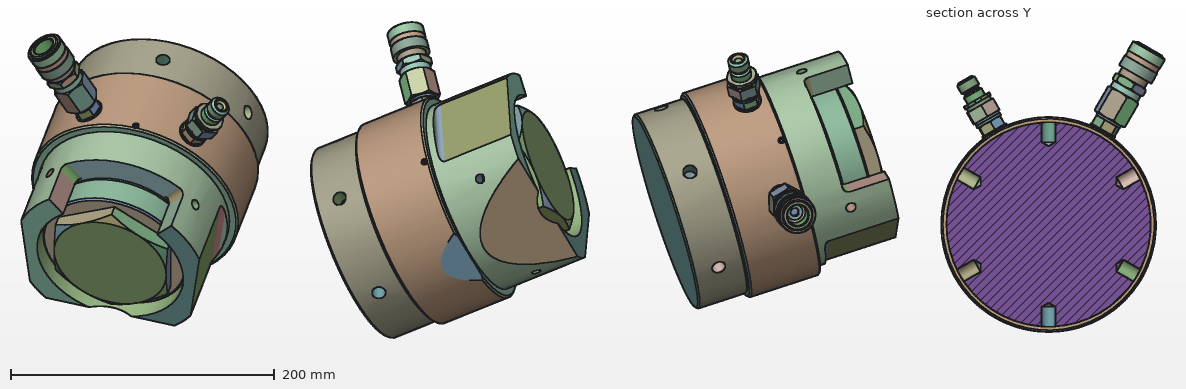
import math

import cadquery as cq


length = 163.0
nose_radius = 75.0
collar_radius = 81.5
collar_front = 66.0
collar_back = 123.0
collar_chamfer = 1.4
rear_radius = 77.5
rear_chamfer = 1.4
rear_neck_chamfer = 1.2

bore_radius = 57.7
bore_depth = 36.0
slot_half_angle = 40.0
slot_fillet = 5.0
flat_distance = 67.25
flat_tilt = 6.0
flat_length = 59.9
flat_fillet = 4.0
nose_bevel_height = 55.3
nose_bevel_angle = 20.0
collar_bevel_height = 77.5
collar_bevel_angle = 10.0

piston_radius = 56.9
piston_front = 12.0
piston_chamfer = 1.4
piston_groove_radius = 55.3
piston_groove_width = 3.2
hexagon_flats = 88.4
hex_chamfer_angle = 30.0

rear_hole_diameter = 10.4
rear_hole_y = length - 20.0
rear_hole_depth = 15.0
rear_hole_count = 6
nose_hole_y = 33.7
nose_hole_angle = 50.0
nose_hole_upper_diameter = 7.7
nose_hole_lower_diameter = 6.8
screw_hole_diameter = 4.7
screw_hole_y = 69.7
screw_hole_depth = 0.6
screw_socket_flats = 2.5
screw_socket_depth = 1.5
screw_socket_turn = 30.0
screw_hole_count = 3
drill_point_angle = 118.0

fitting_y = 83.0
fitting_angle = 30.0
fitting_root = 76.0
washer_radius = 10.6
washer_top = 82.5
adapter_flats = 18.0
adapter_top = 90.0

margin = 10.0
wall_overcut = 1.0
edge_tolerance = 1.0


def revolve_profile(points):
    """Solid of revolution about the Y axis from (radius, y) points."""
    return cq.Workplane("XY").polyline(points).close().revolve(360, (0, 0), (0, 1))


def cylinder(radius, bottom, top):
    """Upright cylinder about the Z axis."""
    return cq.Workplane("XY").workplane(offset=bottom).circle(radius).extrude(top - bottom)


def cone_frustum(bottom_radius, top_radius, bottom, top):
    """Upright cone frustum about the Z axis."""
    cone = cq.Solid.makeCone(bottom_radius, top_radius, top - bottom, cq.Vector(0, 0, bottom))
    return cq.Workplane(obj=cone)


def hexagon(flats, bottom, top, turn, chamfer_bottom=False, chamfer_top=False):
    """Upright hexagon; turn is the angle of a corner away from -Y toward +X."""
    flat_radius = flats / 2
    corner_radius = flats / math.sqrt(3)
    prism = (
        cq.Workplane("XY")
        .workplane(offset=bottom)
        .polygon(6, 2 * corner_radius)
        .extrude(top - bottom)
        .rotate((0, 0, 0), (0, 0, 1), turn - 90)
    )
    chamfer_run = corner_radius - flat_radius
    chamfer_rise = chamfer_run * math.tan(math.radians(hex_chamfer_angle))
    limit = cq.Workplane("XZ").moveTo(0, bottom)
    if chamfer_bottom:
        limit = limit.lineTo(flat_radius, bottom).lineTo(corner_radius, bottom + chamfer_rise)
    else:
        limit = limit.lineTo(corner_radius, bottom)
    if chamfer_top:
        limit = limit.lineTo(corner_radius, top - chamfer_rise).lineTo(flat_radius, top)
    else:
        limit = limit.lineTo(corner_radius, top)
    limit = limit.lineTo(0, top).close().revolve(360, (0, 0), (0, 1))
    return prism.intersect(limit)


def around_axis(shape, angle):
    """Turn a shape about the main axis from +Z toward +X."""
    return shape.rotate((0, 0, 0), (0, 1, 0), angle)


def radial_hole(diameter, outer_radius, depth, y, angle, pointed=True):
    """Cutter for a radial hole, with an optional drill point at its inner end."""
    radius = diameter / 2
    inner_radius = outer_radius - depth
    cutter = cylinder(radius, inner_radius, outer_radius + margin)
    if pointed:
        point_height = radius / math.tan(math.radians(drill_point_angle / 2))
        cutter = cutter.union(cone_frustum(0, radius, inner_radius - point_height, inner_radius))
    return around_axis(cutter.translate((0, y, 0)), angle)


def wrench_flat():
    """Cutter for the tilted flat on the +X side of the nose."""
    reach = nose_radius + margin - flat_distance
    cutter = (
        cq.Workplane("XY")
        .box(reach, flat_length, 2 * nose_radius, centered=(False, False, True))
        .translate((flat_distance, 0, 0))
        .edges("<X and >Y")
        .fillet(flat_fillet)
    )
    return around_axis(cutter, flat_tilt)


def top_slot():
    """Wedge cutter that opens the top of the nose into the bore."""
    half_angle = math.radians(slot_half_angle)
    reach = nose_radius + margin
    side_x = reach * math.sin(half_angle)
    side_z = reach * math.cos(half_angle)
    floor_edges = cq.selectors.BoxSelector(
        (-side_x, bore_depth - edge_tolerance, edge_tolerance),
        (side_x, bore_depth + edge_tolerance, side_z - edge_tolerance),
    )
    return (
        cq.Workplane("XZ")
        .polyline([(0, 0), (-side_x, side_z), (-side_x, reach), (side_x, reach), (side_x, side_z)])
        .close()
        .extrude(-bore_depth)
        .edges(floor_edges)
        .fillet(slot_fillet)
    )


def bottom_bevel(start_y, start_height, angle):
    """Cutter below a plane that starts at the given y and slopes down toward the back."""
    run = collar_radius
    drop = run * math.tan(math.radians(angle))
    return (
        cq.Workplane("YZ")
        .polyline([
            (start_y, -start_height),
            (start_y + run, -start_height - drop),
            (start_y, -start_height - drop),
        ])
        .close()
        .extrude(collar_radius, both=True)
    )


def make_nose():
    nose = revolve_profile([(0, 0), (nose_radius, 0), (nose_radius, collar_front), (0, collar_front)])
    nose = nose.cut(revolve_profile([(0, 0), (bore_radius, 0), (bore_radius, bore_depth), (0, bore_depth)]))
    nose = nose.cut(top_slot())
    right_flat = wrench_flat()
    nose = nose.cut(right_flat).cut(right_flat.mirror("YZ"))
    nose = nose.cut(bottom_bevel(0, nose_bevel_height, nose_bevel_angle))
    wall = nose_radius - bore_radius + wall_overcut
    for side in (-1, 1):
        upper_angle = side * nose_hole_angle
        lower_angle = side * (nose_hole_angle + 90)
        for angle, diameter in (
            (upper_angle, nose_hole_upper_diameter),
            (lower_angle, nose_hole_lower_diameter),
        ):
            nose = nose.cut(radial_hole(diameter, nose_radius, wall, nose_hole_y, angle, False))
    return nose


def make_collar():
    collar = revolve_profile([
        (0, collar_front),
        (collar_radius - collar_chamfer, collar_front),
        (collar_radius, collar_front + collar_chamfer),
        (collar_radius, collar_back - collar_chamfer),
        (collar_radius - collar_chamfer, collar_back),
        (0, collar_back),
    ])
    collar = collar.cut(bottom_bevel(collar_front, collar_bevel_height, collar_bevel_angle))
    screw_floor = collar_radius - screw_hole_depth
    for i in range(screw_hole_count):
        angle = i * 360 / screw_hole_count
        collar = collar.cut(
            radial_hole(screw_hole_diameter, collar_radius, screw_hole_depth, screw_hole_y, angle, False)
        )
        socket = hexagon(screw_socket_flats, screw_floor - screw_socket_depth, screw_floor, screw_socket_turn)
        collar = collar.cut(around_axis(socket.translate((0, screw_hole_y, 0)), angle))
    return collar


def make_rear():
    rear = revolve_profile([
        (0, collar_back),
        (rear_radius - rear_neck_chamfer, collar_back),
        (rear_radius, collar_back + rear_neck_chamfer),
        (rear_radius, length - rear_chamfer),
        (rear_radius - rear_chamfer, length),
        (0, length),
    ])
    for i in range(rear_hole_count):
        angle = i * 360 / rear_hole_count
        rear = rear.cut(radial_hole(rear_hole_diameter, rear_radius, rear_hole_depth, rear_hole_y, angle))
    return rear


def make_piston():
    groove_front = bore_depth - piston_groove_width
    piston = revolve_profile([
        (0, piston_front),
        (piston_radius - piston_chamfer, piston_front),
        (piston_radius, piston_front + piston_chamfer),
        (piston_radius, groove_front),
        (piston_groove_radius, groove_front),
        (piston_groove_radius, bore_depth),
        (0, bore_depth),
    ])
    head = hexagon(hexagon_flats, -piston_front, 0, 0, chamfer_top=True)
    return piston.union(head.rotate((0, 0, 0), (1, 0, 0), 90))


def fitting_base(hex_turn, chamfered):
    """Washer and adapter hexagon that seat a fitting on the collar."""
    washer = cylinder(washer_radius, fitting_root, washer_top)
    return washer.union(
        hexagon(adapter_flats, washer_top, adapter_top, hex_turn, chamfer_top=chamfered)
    )


def make_socket_fitting():
    """Large quick-release socket."""
    hex_flats = 24.0
    hex_turn = 14.0
    adapter_turn = -15.0
    neck_radius = 10.2
    body_bottom = 92.0
    body_top = 114.0
    union_radius = 11.9
    nut_bottom = 119.2
    nut_top = 125.6
    tail_radius = 11.3
    sleeve_bottom = 131.3
    sleeve_radius = 14.2
    sleeve_step = 140.0
    waist_radius = 13.6
    waist_top = 144.5
    grip_radius = 14.0
    grip_top = 152.65
    grip_chamfer = 0.5
    mouth_base_radius = 11.8
    mouth_radius = 10.8
    mouth_top = 153.8
    socket_radius = 7.9
    socket_chamfer = 0.7
    socket_depth = 13.0
    seat_radius = 6.0
    seat_depth = 14.0
    valve_radius = 3.2
    valve_depth = 18.0

    fitting = fitting_base(adapter_turn, False)
    fitting = fitting.union(cylinder(neck_radius, adapter_top, body_bottom))
    fitting = fitting.union(hexagon(hex_flats, body_bottom, body_top, hex_turn, True, True))
    fitting = fitting.union(cylinder(union_radius, body_top, nut_bottom))
    fitting = fitting.union(hexagon(hex_flats, nut_bottom, nut_top, hex_turn, True, True))
    fitting = fitting.union(cylinder(tail_radius, nut_top, sleeve_bottom))
    fitting = fitting.union(cylinder(sleeve_radius, sleeve_bottom, sleeve_step))
    fitting = fitting.union(cylinder(waist_radius, sleeve_step, waist_top))
    fitting = fitting.union(cylinder(grip_radius, waist_top, grip_top).faces(">Z").chamfer(grip_chamfer))
    fitting = fitting.union(cone_frustum(mouth_base_radius, mouth_radius, grip_top, mouth_top))
    socket_floor = mouth_top - socket_depth
    seat_floor = mouth_top - seat_depth
    lip_radius = socket_radius + socket_chamfer
    fitting = fitting.cut(cylinder(valve_radius, mouth_top - valve_depth, mouth_top))
    fitting = fitting.cut(cone_frustum(seat_radius, socket_radius, seat_floor, socket_floor))
    fitting = fitting.cut(cylinder(socket_radius, socket_floor, mouth_top))
    return fitting.cut(cone_frustum(socket_radius, lip_radius, mouth_top - socket_chamfer, mouth_top))


def make_plug_fitting():
    """Small quick-release plug."""
    hex_flats = 22.0
    hex_turn = 4.0
    seat_radius = 10.4
    seat_top = 92.0
    neck_radius = 10.1
    body_bottom = 94.0
    body_top = 104.0
    collar_neck_radius = 10.1
    flange_bottom = 106.9
    flange_radius = 11.5
    flange_top = 109.3
    stem_radius = 7.7
    groove_radius = 6.2
    groove_bottom = 116.4
    groove_cone_bottom = 117.6
    groove_top = 118.7
    tip_radius = 5.6
    tip_top = 126.8
    shoulder_height = 1.5
    recess_mouth_radius = 4.6
    recess_floor_radius = 2.8
    recess_depth = 2.0

    fitting = fitting_base(hex_turn, True)
    fitting = fitting.union(cylinder(seat_radius, adapter_top, seat_top))
    fitting = fitting.union(cylinder(neck_radius, seat_top, body_bottom))
    fitting = fitting.union(hexagon(hex_flats, body_bottom, body_top, hex_turn))
    fitting = fitting.union(cylinder(collar_neck_radius, body_top, flange_bottom))
    flange = cylinder(flange_radius, flange_bottom, flange_top)
    fitting = fitting.union(flange.intersect(hexagon(hex_flats, flange_bottom, flange_top, hex_turn)))
    stem_top = groove_bottom - shoulder_height
    tip_shoulder = tip_top - shoulder_height
    fitting = fitting.union(cylinder(stem_radius, flange_top, stem_top))
    fitting = fitting.union(cone_frustum(stem_radius, groove_radius, stem_top, groove_bottom))
    fitting = fitting.union(cylinder(groove_radius, groove_bottom, groove_cone_bottom))
    fitting = fitting.union(cone_frustum(groove_radius, stem_radius, groove_cone_bottom, groove_top))
    fitting = fitting.union(cylinder(stem_radius, groove_top, tip_shoulder))
    fitting = fitting.union(cone_frustum(stem_radius, tip_radius, tip_shoulder, tip_top))
    return fitting.cut(
        cone_frustum(recess_floor_radius, recess_mouth_radius, tip_top - recess_depth, tip_top)
    )


def place_fitting(fitting, angle):
    return around_axis(fitting.translate((0, fitting_y, 0)), angle)


result = (
    make_nose()
    .union(make_collar())
    .union(make_rear())
    .union(make_piston())
    .union(place_fitting(make_socket_fitting(), -fitting_angle))
    .union(place_fitting(make_plug_fitting(), fitting_angle))
)